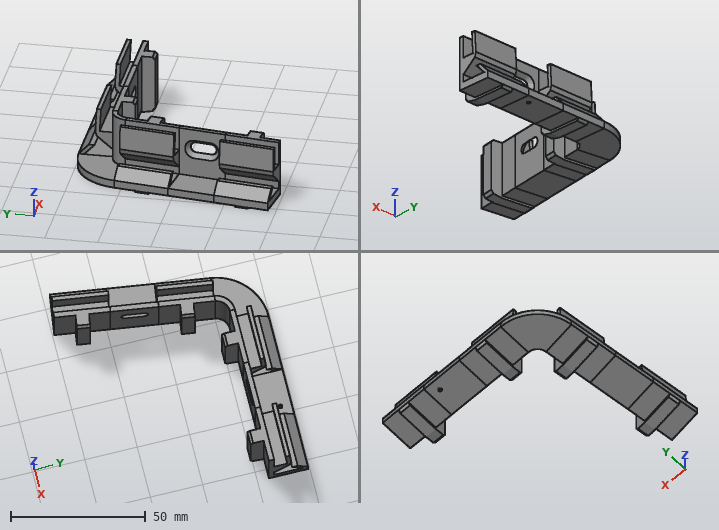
import cadquery as cq
import math

ARM_ANGLE = 97.9
BEND_TURN = 180.0 - ARM_ANGLE
INNER_RADIUS = 5.0
BASE_WIDTH = 15.0
WALL_THICKNESS = 2.0
OUTER_RADIUS = INNER_RADIUS + BASE_WIDTH
WALL_OUTER_RADIUS = INNER_RADIUS + WALL_THICKNESS
HEIGHT = 22.0
BASE_THICKNESS = 3.0

CLIP_LENGTH = 21.0
PLATE_LENGTH = 18.0

LIP_TOP = 7.2
LIP_LEAN = 4.0
LIP_WIDTH = 2.1

HOOK_ROOT_Z = 6.0
HOOK_KNEE_Z = 11.0
HOOK_FLOOR_Z = 13.0
HOOK_TIP_Y = 13.1
HOOK_BULGE_Y = 13.65
HOOK_TIP_THICKNESS = 1.6
HOOK_SLOT_Y = 12.0

RIB_WIDTH = 5.0
RIB_REACH = 5.0
RIB_DEPTH = 1.04
RIB_CHAMFER = 1.0
RIB_KNEE_Z = -0.27
RIB_TIP_Z = 1.06

SLOT_LENGTH = 10.0
SLOT_WIDTH = 4.0
SLOT_Z = 14.0
SLOT_FLARE = 1.65

RING_X = 34.8
RING_Y = 15.7
RING_DIAMETER = 1.45
CORE_DIAMETER = 0.7


def extrude_profile(points, start, length):
    """Extrude a (y, z) outline along +X from x = start."""
    return cq.Workplane("YZ", origin=(start, 0, 0)).polyline(points).close().extrude(length)


def angle_section(start, length):
    """Plain L section: flat base with the upright wall on its inner edge."""
    outline = [
        (OUTER_RADIUS, 0),
        (OUTER_RADIUS, BASE_THICKNESS),
        (WALL_OUTER_RADIUS, BASE_THICKNESS),
        (WALL_OUTER_RADIUS, HEIGHT),
        (INNER_RADIUS, HEIGHT),
        (INNER_RADIUS, 0),
    ]
    return extrude_profile(outline, start, length)


def lip(start):
    crest_y = OUTER_RADIUS - LIP_LEAN
    outline = [
        (OUTER_RADIUS, BASE_THICKNESS),
        (crest_y, LIP_TOP),
        (crest_y - LIP_WIDTH, LIP_TOP),
        (OUTER_RADIUS - LIP_WIDTH, BASE_THICKNESS),
    ]
    return extrude_profile(outline, start, CLIP_LENGTH)


def hook(start):
    outline = [
        (WALL_OUTER_RADIUS, HOOK_ROOT_Z),
        (HOOK_TIP_Y, HOOK_KNEE_Z),
        (HOOK_BULGE_Y, HOOK_FLOOR_Z),
        (HOOK_TIP_Y, HEIGHT),
        (HOOK_TIP_Y - HOOK_TIP_THICKNESS, HEIGHT),
        (HOOK_SLOT_Y, HOOK_FLOOR_Z),
        (WALL_OUTER_RADIUS, HOOK_FLOOR_Z),
    ]
    return extrude_profile(outline, start, CLIP_LENGTH)


def rib(start):
    """L-shaped rib at mid-length of a clip, inside the wall and under the base."""
    tip_y = INNER_RADIUS - RIB_REACH
    outline = [
        (INNER_RADIUS, HEIGHT),
        (tip_y + RIB_CHAMFER, HEIGHT),
        (tip_y, HEIGHT - RIB_CHAMFER),
        (tip_y, RIB_TIP_Z),
        (tip_y + RIB_CHAMFER, RIB_KNEE_Z),
        (INNER_RADIUS, -RIB_DEPTH),
        (OUTER_RADIUS - RIB_DEPTH, -RIB_DEPTH),
        (OUTER_RADIUS, 0),
        (INNER_RADIUS, 0),
    ]
    return extrude_profile(outline, start + (CLIP_LENGTH - RIB_WIDTH) / 2, RIB_WIDTH)


def clip_segment(start):
    section = angle_section(start, CLIP_LENGTH)
    return section.union(lip(start)).union(hook(start)).union(rib(start))


def screw_slot(start):
    """Slot cutter, flaring from the inside face of the wall to its outside face."""
    middle = start + PLATE_LENGTH / 2
    flare_angle = math.degrees(math.atan2(SLOT_FLARE, WALL_THICKNESS))
    plane = cq.Plane(origin=(middle, INNER_RADIUS, SLOT_Z), xDir=(1, 0, 0), normal=(0, 1, 0))
    return cq.Workplane(plane).slot2D(SLOT_LENGTH, SLOT_WIDTH).extrude(WALL_THICKNESS, taper=-flare_angle)


def plate_segment(start):
    return angle_section(start, PLATE_LENGTH).cut(screw_slot(start))


def ring_post(diameter):
    return cq.Workplane("XY").center(RING_X, RING_Y).circle(diameter / 2).extrude(BASE_THICKNESS)


def corner_bend():
    """L section swept round the bend from the first arm to the second."""
    end_face = angle_section(0, CLIP_LENGTH).faces("<X").wires().val()
    bend = cq.Solid.revolve(end_face, [], BEND_TURN, cq.Vector(0, 0, 0), cq.Vector(0, 0, 1))
    return cq.Workplane(bend)


def onto_second_arm(body):
    """Mirror a body of the first arm across the bend's line of symmetry."""
    return body.mirror("YZ").rotate((0, 0, 0), (0, 0, 1), BEND_TURN)


clip_starts = (0, CLIP_LENGTH + PLATE_LENGTH)

corner = corner_bend()
first_arm_clips = [clip_segment(start) for start in clip_starts]
second_arm_clips = [onto_second_arm(clip) for clip in first_arm_clips]
plain_plate = plate_segment(CLIP_LENGTH)
second_arm_plate = onto_second_arm(plain_plate)
first_arm_plate = plain_plate.cut(ring_post(RING_DIAMETER))
ring_core = ring_post(CORE_DIAMETER)

bodies = [corner, *first_arm_clips, first_arm_plate, ring_core, *second_arm_clips, second_arm_plate]
result = cq.Compound.makeCompound([body.val() for body in bodies])